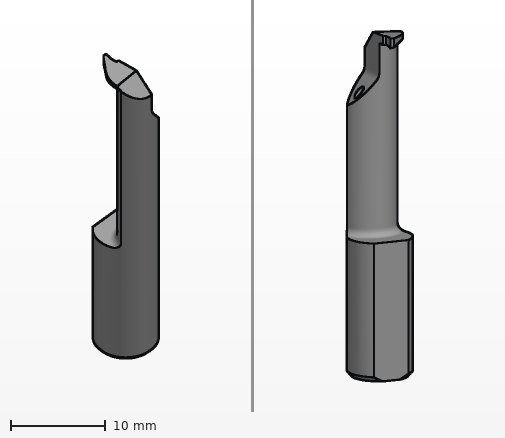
import cadquery as cq
import math

length = 37.0
shank_diameter = 7.0
width_across_flat = 6.35
shank_radius = shank_diameter / 2
shank_length = 15.02
flat_x = shank_radius - width_across_flat
base_chamfer_width = 0.48
base_chamfer_height = 0.55

neck_radius = 3.1
neck_left_x = -0.22
neck_axis_x = neck_left_x + neck_radius
neck_root_radius = 0.8

rake_y = 0.15
head_depth = 1.05
top_relief_angle = 4.0
underside_relief_angle = 6.0
end_relief_angle = 2.0
end_chamfer_x = 1.37
end_chamfer_angle = 45.0
underside_fillet = 0.22
tip_x = -2.8
tip_y = 0.07
tip_land_y = -0.35
head_flank_end = (-0.92, -2.1)
head_curve_middle = (0.2, -2.78)
head_back = (1.78, -3.0)
chip_groove_y = -0.15
chip_groove_start_x = -1.9
chip_groove_end_x = -1.2
chip_groove_step_x = -1.1

flute_corner_z = 32.3
flute_angle = 40.8
flute_corner_radius = 1.22

coolant_x = 1.45
coolant_y = 1.75
coolant_diameter = 1.0

margin = 1.85
reach = shank_radius + margin
plate_width = 6 * reach


def make_round_bar():
    """Full-length bar with the base chamfer."""
    return (
        cq.Workplane("XZ")
        .moveTo(0, 0)
        .lineTo(shank_radius - base_chamfer_width, 0)
        .lineTo(shank_radius, base_chamfer_height)
        .lineTo(shank_radius, length)
        .lineTo(0, length)
        .close()
        .revolve(360, (0, 0, 0), (0, 1, 0))
    )


def make_shank():
    """Lower envelope, bounded by the clamping flat."""
    return (
        cq.Workplane("XY")
        .box(reach - flat_x, 2 * reach, shank_length, centered=(False, True, False))
        .translate((flat_x, 0, 0))
    )


def make_neck():
    """Neck cylinder flaring out at its root with a concave fillet."""
    root_z = shank_length + neck_root_radius
    arc_drop = neck_root_radius * math.sin(math.pi / 4)
    arc_middle = (neck_radius + neck_root_radius - arc_drop, root_z - arc_drop)
    return (
        cq.Workplane("XZ")
        .moveTo(0, shank_length)
        .lineTo(neck_radius + neck_root_radius, shank_length)
        .threePointArc(arc_middle, (neck_radius, root_z))
        .lineTo(neck_radius, length)
        .lineTo(0, length)
        .close()
        .revolve(360, (0, 0, 0), (0, 1, 0))
        .translate((neck_axis_x, 0, 0))
    )


def make_underside_slab():
    """Plate with a sloping underside, blended into the full neck cylinder."""
    underside_z = length - head_depth
    plate = (
        cq.Workplane("XY")
        .box(plate_width, plate_width, margin)
        .translate((0, tip_y, underside_z + margin / 2))
        .rotate((0, tip_y, underside_z), (1, tip_y, underside_z), -underside_relief_angle)
    )
    column = (
        cq.Workplane("XY")
        .workplane(offset=shank_length)
        .center(neck_axis_x, 0)
        .circle(neck_radius)
        .extrude(underside_z + head_depth / 2 - shank_length)
    )
    underside_corner = (neck_left_x, 0, underside_z)
    return (
        plate.union(column)
        .edges(cq.selectors.NearestToPointSelector(underside_corner))
        .fillet(underside_fillet)
    )


def make_head():
    """Hooked cutting head, trimmed from the blended plate."""
    blank_height = head_depth + 2 * underside_fillet
    blank = (
        cq.Workplane("XY")
        .workplane(offset=length - blank_height)
        .moveTo(tip_x, tip_y)
        .lineTo(tip_x, tip_land_y)
        .lineTo(*head_flank_end)
        .threePointArc(head_curve_middle, head_back)
        .lineTo(head_back[0], rake_y)
        .lineTo(chip_groove_step_x, rake_y)
        .lineTo(chip_groove_end_x, chip_groove_y)
        .lineTo(chip_groove_start_x, chip_groove_y)
        .close()
        .extrude(blank_height)
    )
    return blank.intersect(make_underside_slab())


def make_end_cutter():
    """Material above the relieved end face and its corner chamfer."""
    chamfer_z = length - (end_chamfer_x - tip_x) * math.tan(math.radians(end_relief_angle))
    corner_z = chamfer_z - (reach - end_chamfer_x) * math.tan(math.radians(end_chamfer_angle))
    top_z = length + margin
    return (
        cq.Workplane("XZ")
        .polyline([(tip_x, length), (end_chamfer_x, chamfer_z), (reach, corner_z),
                   (reach, top_z), (tip_x, top_z)])
        .close()
        .extrude(2 * reach, both=True)
        .rotate((0, tip_y, length), (1, tip_y, length), top_relief_angle)
    )


def make_flute_cutter():
    """Space behind the rake face, running out on a slope."""
    runout_z = flute_corner_z - (reach - rake_y) / math.tan(math.radians(flute_angle))
    return (
        cq.Workplane("YZ")
        .polyline([(rake_y, length + margin), (rake_y, flute_corner_z),
                   (reach, runout_z), (reach, length + margin)])
        .close()
        .extrude(reach, both=True)
        .edges(cq.selectors.NearestToPointSelector((0, rake_y, flute_corner_z)))
        .fillet(flute_corner_radius)
    )


def make_coolant_hole():
    return cq.Workplane("XY").center(coolant_x, coolant_y).circle(coolant_diameter / 2).extrude(length)


round_bar = make_round_bar()
shank = round_bar.intersect(make_shank())
neck = round_bar.intersect(make_neck())
tool = shank.union(neck).cut(make_flute_cutter()).union(make_head())
result = tool.cut(make_end_cutter()).cut(make_coolant_hole())